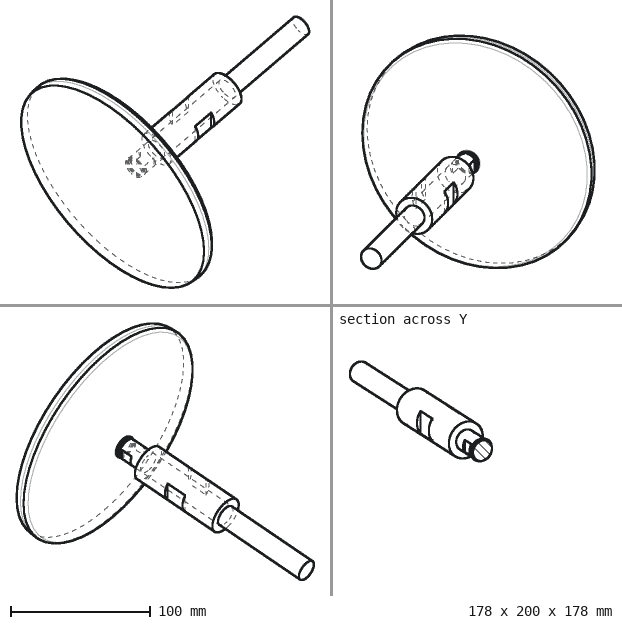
import cadquery as cq
import math

TOTAL_LENGTH = 200.0

FOOT_RADIUS = 178.0 / 2
FACE_RADIUS = FOOT_RADIUS - 0.5
DRAFT_HEIGHT = 4.5
RIM_HEIGHT = 7.5
SHOULDER_WIDTH = 2.2
SHOULDER_HEIGHT = 2.5
SHOULDER_BULGE = 0.5
CONE_TOP_RADIUS = 9.0
CONE_TOP_Y = 22.5

ROD_RADIUS = 16.0 / 2
COLLAR_RADIUS = 8.5
COLLAR_BASE_RADIUS = 8.0
COLLAR_HEIGHT = 1.5
NECK_RADIUS = 7.5
NECK_HEIGHT = 1.2
ROD_FLATS_WIDTH = 13.0
ROD_FLATS_LENGTH = 9.5
ROD_FLATS_START = 27.2

SLEEVE_RADIUS = 28.0 / 2
SLEEVE_START = 46.5
SLEEVE_LENGTH = 75.0
SLEEVE_FLATS_WIDTH = 22.0
SLEEVE_FLATS_LENGTH = 17.0


def cylinder(radius, start, length):
    """Cylinder about the Y axis, from y = start."""
    return cq.Workplane(cq.Solid.makeCylinder(radius, length, cq.Vector(0, start, 0), cq.Vector(0, 1, 0)))


def cut_wrench_flats(body, radius, width, start, length):
    """Cut two parallel flats facing -X and +X."""
    middle = start + length / 2
    slab = cq.Workplane("XY").box(width, length, 2 * radius).translate((0, middle, 0))
    return body.cut(cylinder(radius, start, length).cut(slab))


def make_foot():
    chord = math.hypot(SHOULDER_WIDTH, SHOULDER_HEIGHT)
    bulge_x = SHOULDER_BULGE * SHOULDER_HEIGHT / chord
    bulge_y = SHOULDER_BULGE * SHOULDER_WIDTH / chord
    profile = (
        cq.Workplane("XY")
        .lineTo(FACE_RADIUS, 0)
        .lineTo(FOOT_RADIUS, DRAFT_HEIGHT)
        .lineTo(FOOT_RADIUS, RIM_HEIGHT)
        .threePointArc(
            (FOOT_RADIUS - SHOULDER_WIDTH / 2 + bulge_x, RIM_HEIGHT + SHOULDER_HEIGHT / 2 + bulge_y),
            (FOOT_RADIUS - SHOULDER_WIDTH, RIM_HEIGHT + SHOULDER_HEIGHT),
        )
        .lineTo(CONE_TOP_RADIUS, CONE_TOP_Y)
        .lineTo(0, CONE_TOP_Y)
        .close()
    )
    return profile.revolve(360, (0, 0, 0), (0, 1, 0))


def make_spindle():
    neck_start = CONE_TOP_Y + COLLAR_HEIGHT
    rod_start = neck_start + NECK_HEIGHT
    collar = cq.Workplane(
        cq.Solid.makeCone(
            COLLAR_BASE_RADIUS, COLLAR_RADIUS, COLLAR_HEIGHT,
            cq.Vector(0, CONE_TOP_Y, 0), cq.Vector(0, 1, 0),
        )
    )
    neck = cylinder(NECK_RADIUS, neck_start, NECK_HEIGHT)
    rod = cylinder(ROD_RADIUS, rod_start, TOTAL_LENGTH - rod_start)
    rod = cut_wrench_flats(rod, ROD_RADIUS, ROD_FLATS_WIDTH, ROD_FLATS_START, ROD_FLATS_LENGTH)
    return collar.union(neck).union(rod)


def make_sleeve():
    tube = cylinder(SLEEVE_RADIUS, SLEEVE_START, SLEEVE_LENGTH)
    bore = cylinder(ROD_RADIUS, SLEEVE_START, SLEEVE_LENGTH)
    flats_start = SLEEVE_START + (SLEEVE_LENGTH - SLEEVE_FLATS_LENGTH) / 2
    tube = cut_wrench_flats(tube, SLEEVE_RADIUS, SLEEVE_FLATS_WIDTH, flats_start, SLEEVE_FLATS_LENGTH)
    return tube.cut(bore)


foot = make_foot()
spindle = make_spindle()
sleeve = make_sleeve()

result = cq.Compound.makeCompound([foot.val(), spindle.val(), sleeve.val()])